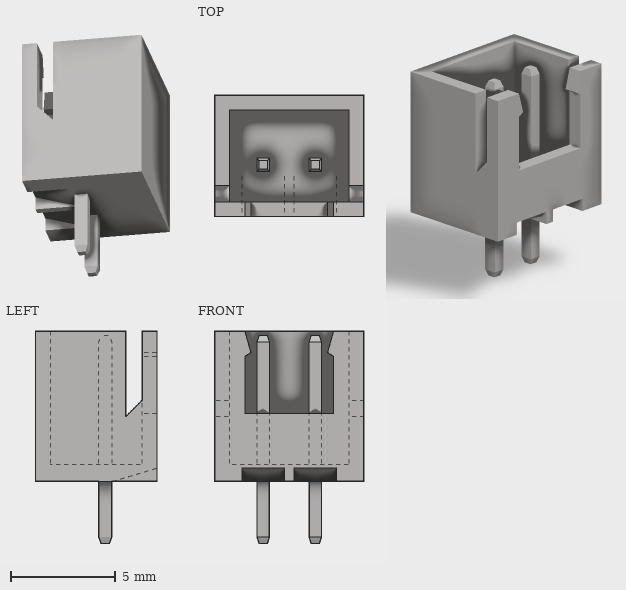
import cadquery as cq

width = 7.17
depth = 5.84
height = 7.21
wall = 0.72
floor_thickness = 0.81

window_width = 4.26
window_sill = 3.26
hook_reach = 0.29
hook_tip_drop = 1.03
hook_bottom_drop = 1.21

slot_width = 0.78
slot_corner_drop = 3.32

notch_width = 2.05
notch_height = 0.63
notch_depth = 2.1
notch_pitch = 2.49

pin_pitch = 2.5
pin_width = 0.6
pin_depth = 0.64
pin_center_y = 2.49
pin_bottom = -3.0
pin_top = 7.0
tip_length = 0.32
tip_end_width = 0.4


def make_housing():
    """Box with an open-topped cavity."""
    housing = cq.Workplane("XY").box(width, depth, height, centered=(True, False, False))
    cavity = cq.Workplane("XY").workplane(offset=floor_thickness).center(0, wall).box(
        width - 2 * wall, depth - 2 * wall, height, centered=(True, False, False)
    )
    return housing.cut(cavity)


def make_window():
    """Front wall opening, narrowed by the hook on each side."""
    half = window_width / 2
    hook_tip = half - hook_reach
    return (
        cq.Workplane("XZ")
        .moveTo(-half, window_sill)
        .lineTo(half, window_sill)
        .lineTo(half, height - hook_bottom_drop)
        .lineTo(hook_tip, height - hook_tip_drop)
        .lineTo(half, height)
        .lineTo(-half, height)
        .lineTo(-hook_tip, height - hook_tip_drop)
        .lineTo(-half, height - hook_bottom_drop)
        .close()
        .extrude(-wall)
    )


def make_slots():
    """Slot through both side walls, with a 45 degree bottom sloping down to the rear."""
    corner_z = height - slot_corner_drop
    slot_rear = wall + slot_width
    return (
        cq.Workplane("YZ")
        .moveTo(wall, height)
        .lineTo(wall, corner_z)
        .lineTo(slot_rear, corner_z - slot_width)
        .lineTo(slot_rear, height)
        .close()
        .extrude(width / 2, both=True)
    )


def make_notch(center_x):
    """Shallow wedge under the housing, open to the front and tapering out toward the pin."""
    return (
        cq.Workplane("YZ")
        .workplane(offset=center_x - notch_width / 2)
        .polyline([(0, 0), (notch_depth, 0), (0, notch_height)])
        .close()
        .extrude(notch_width)
    )


def make_tip(center_x, base_z, direction):
    """Tapered pin end, growing up (direction 1) or down (direction -1)."""
    return (
        cq.Workplane("XY")
        .workplane(offset=base_z)
        .center(center_x, pin_center_y)
        .rect(pin_width, pin_depth)
        .workplane(offset=direction * tip_length)
        .rect(tip_end_width, tip_end_width)
        .loft(combine=True)
    )


def make_pin(center_x):
    """Rectangular pin with both ends tapered."""
    shank_bottom = pin_bottom + tip_length
    shank_top = pin_top - tip_length
    shank = (
        cq.Workplane("XY")
        .workplane(offset=shank_bottom)
        .center(center_x, pin_center_y)
        .rect(pin_width, pin_depth)
        .extrude(shank_top - shank_bottom)
    )
    upper_tip = make_tip(center_x, shank_top, 1)
    lower_tip = make_tip(center_x, shank_bottom, -1)
    return shank.union(upper_tip).union(lower_tip)


result = make_housing().cut(make_window()).cut(make_slots())
for side in (-1, 1):
    result = result.cut(make_notch(side * notch_pitch / 2))
    result = result.union(make_pin(side * pin_pitch / 2))